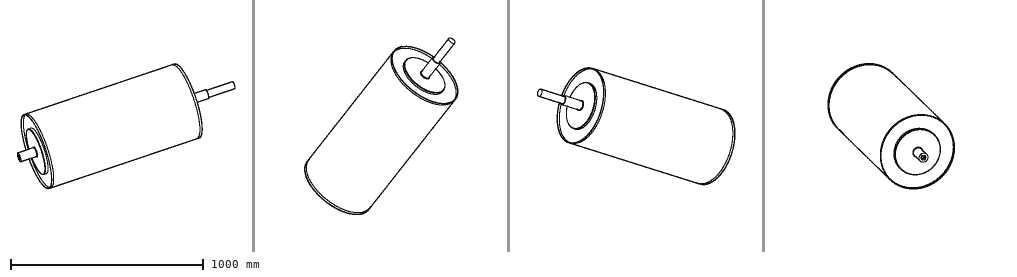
import cadquery as cq
import math

total_length = 1210.0

drum_diameter = 407.0
drum_length = 850.0
drum_front = 97.0
drum_rear = drum_front + drum_length
recess_diameter = 400.0
recess_depth = 12.0

hub_diameter = 250.0
hub_projection = 5.0
hub_chamfer = 2.0

shaft_diameter = 50.0
collar_diameter = 55.0
front_collar_projection = 8.0
rear_collar_projection = 4.0
journal_diameter = 40.0
journal_length = 150.0

countersink_diameter = 25.0
countersink_angle = 60
relief_diameter = 17.0
relief_end = 13.0
bore_diameter = 13.0
bore_depth = 42.0
countersink_step = (countersink_diameter - relief_diameter) / 2
countersink_depth = countersink_step / math.tan(math.radians(countersink_angle / 2))


def cylinder(diameter, start, end):
    """Solid cylinder on the Y axis from y = start to y = end."""
    plane = cq.Workplane("XZ", origin=(0, start, 0))
    return plane.circle(diameter / 2).extrude(start - end)


drum = cylinder(drum_diameter, drum_front, drum_rear)
drum = drum.cut(cylinder(recess_diameter, drum_front, drum_front + recess_depth))
drum = drum.cut(cylinder(recess_diameter, drum_rear - recess_depth, drum_rear))

front_hub = cylinder(hub_diameter, drum_front - hub_projection, drum_front + recess_depth)
front_hub = front_hub.faces("<Y").chamfer(hub_chamfer)
rear_hub = cylinder(hub_diameter, drum_rear - recess_depth, drum_rear)
rear_hub = rear_hub.faces(">Y").chamfer(hub_chamfer)

collar = cylinder(
    collar_diameter,
    drum_front - front_collar_projection,
    drum_rear + rear_collar_projection,
)
journal_start = total_length - journal_length
shaft = cylinder(shaft_diameter, 0, journal_start)
journal = cylinder(journal_diameter, journal_start, total_length)

centre_hole = (
    cq.Workplane("XY")
    .moveTo(0, 0)
    .lineTo(countersink_diameter / 2, 0)
    .lineTo(relief_diameter / 2, countersink_depth)
    .lineTo(relief_diameter / 2, relief_end)
    .lineTo(bore_diameter / 2, relief_end)
    .lineTo(bore_diameter / 2, bore_depth)
    .lineTo(0, bore_depth)
    .close()
    .revolve(360, (0, 0, 0), (0, 1, 0))
)

result = drum.union(front_hub).union(rear_hub).union(collar).union(shaft).union(journal)
result = result.cut(centre_hole)